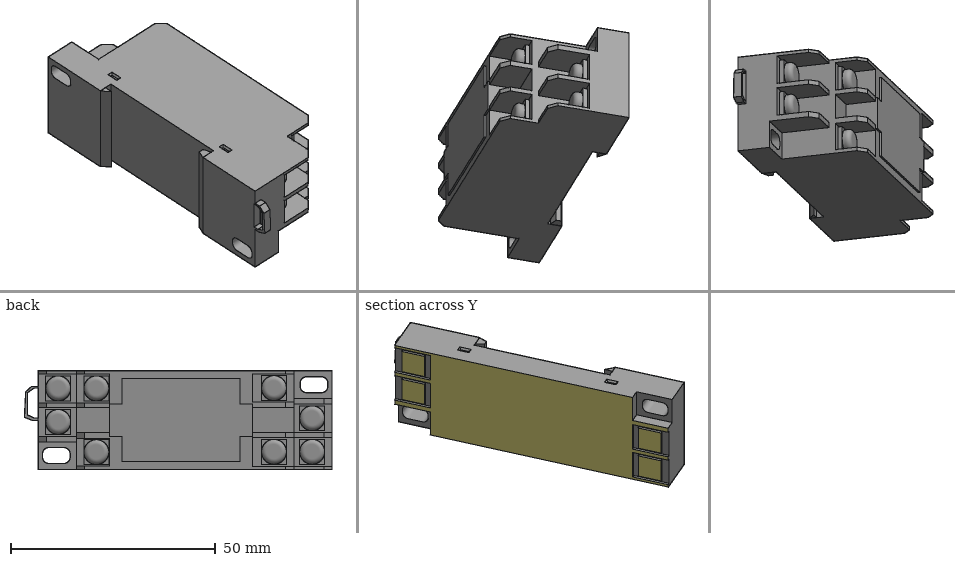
import cadquery as cq

HOUSING_LENGTH = 71.7
HEIGHT_Z = 24.2
TIER_LENGTH = 9.3
TIER_Y = 20.3
TOP_Y = 29.5
EDGE_CHAMFER = 2.0

CHANNEL_START = 18.1
CHANNEL_END = 53.6
CHANNEL_DEPTH = 3.6
HOOK_REACH = 2.1
HOOK_Y = 1.8
NOSE_REACH = 2.2
NOSE_ROOT_Y = 2.9
NOSE_TIP_LOW_Y = 0.9
NOSE_TIP_HIGH_Y = 2.2
GRIP_SIDE_GAP = 0.1

PAD_Y = 30.0
PAD_START = 19.45
PAD_END = 54.3
PAD_TAB = 3.0
PAD_WIDTH = 20.3
PAD_TAB_WIDTH = 7.95

LOWER_FLOOR_Y = 10.15
UPPER_FLOOR_Y = 21.9
LOWER_CHAMBERS = [(0.8, 7.9, True), (9.0, 16.1, True)]
UPPER_CHAMBERS = [(0.8, 7.9, True), (9.0, 15.2, False), (16.5, 23.3, True)]

SCREW_WIDTH = 6.1
SCREW_PLATE = 1.1
SCREW_HEAD = 2.1
SCREW_RIM_RADIUS = 1.2
SCREW_SETBACK = 4.9

NOTCH_FLOOR_Y = 8.1
NOTCH_WIDTH = 6.75
SLOT_X = 4.4
SLOT_Z = 20.7
SLOT_LENGTH = 6.7
SLOT_WIDTH = 3.8
SLOT_CORNER = 1.5

PIT_LENGTH = 3.0
PIT_WIDTH = 1.35
PIT_TAPER = 0.45
PIT_DEPTH = 0.45
PIT_Y = 6.3

LOOP_THICKNESS = 2.0
LOOP_RECESS = 0.3
LOOP_OUTER = [(73.3, 20.35), (74.8, 19.0), (75.1, 12.8), (73.1, 11.95)]
LOOP_INNER = [(72.7, 19.9), (74.3, 18.8), (74.3, 13.4), (72.7, 12.6)]


def box(x0, x1, y0, y1, z0, z1):
    return cq.Workplane("XY").box(x1 - x0, y1 - y0, z1 - z0, centered=False).translate((x0, y0, z0))


def prism(points, side_gap=0):
    """Profile in X and Y, extruded over the Z height less a gap at each side."""
    return (
        cq.Workplane("XY", origin=(0, 0, side_gap))
        .polyline(points).close().extrude(HEIGHT_Z - 2 * side_gap)
    )


def slab(points, y0, y1):
    """Profile in X and Z, extruded from y0 to y1."""
    return cq.Workplane("XZ", origin=(0, y0, 0)).polyline(points).close().extrude(y0 - y1)


def turned(shape):
    """Half turn about the vertical middle line of the housing, parallel to Y."""
    middle = (HOUSING_LENGTH / 2, 0, HEIGHT_Z / 2)
    return shape.rotate(middle, (middle[0], 1, middle[2]), 180)


def housing_block():
    right = HOUSING_LENGTH
    step = HOUSING_LENGTH - TIER_LENGTH
    c = EDGE_CHAMFER
    return prism([
        (0, 0), (CHANNEL_START, 0), (CHANNEL_START, CHANNEL_DEPTH),
        (CHANNEL_END, CHANNEL_DEPTH), (CHANNEL_END, 0), (right, 0),
        (right, TIER_Y - c), (right - c, TIER_Y), (step, TIER_Y),
        (step, TOP_Y - c), (step - c, TOP_Y), (TIER_LENGTH + c, TOP_Y),
        (TIER_LENGTH, TOP_Y - c), (TIER_LENGTH, TIER_Y), (c, TIER_Y), (0, TIER_Y - c),
    ])


def screw(x, floor_y, z):
    half = SCREW_WIDTH / 2
    plate = box(x - half, x + half, floor_y, floor_y + SCREW_PLATE, z - half, z + half)
    head = (
        cq.Workplane("XZ", origin=(x, floor_y + SCREW_PLATE, z))
        .circle(half).extrude(-SCREW_HEAD)
        .faces(">Y").edges().fillet(SCREW_RIM_RADIUS)
    )
    return plate.union(head)


def chamber_tiers(upper_depth):
    """Both tiers, as (outer face x, depth, floor y, open top y, chambers)."""
    return [
        (0, TIER_LENGTH, LOWER_FLOOR_Y, TIER_Y, LOWER_CHAMBERS),
        (TIER_LENGTH, upper_depth, UPPER_FLOOR_Y, TOP_Y, UPPER_CHAMBERS),
    ]


def corner_notch():
    return box(0, TIER_LENGTH, NOTCH_FLOOR_Y, TIER_Y, HEIGHT_Z - NOTCH_WIDTH, HEIGHT_Z)


def mounting_slot():
    return box(
        SLOT_X - SLOT_LENGTH / 2, SLOT_X + SLOT_LENGTH / 2,
        0, NOTCH_FLOOR_Y,
        SLOT_Z - SLOT_WIDTH / 2, SLOT_Z + SLOT_WIDTH / 2,
    ).edges("|Y").fillet(SLOT_CORNER)


def terminal_cuts(upper_depth):
    cuts = corner_notch().union(mounting_slot())
    for face_x, depth, floor_y, open_y, chambers in chamber_tiers(upper_depth):
        for z0, z1, _ in chambers:
            cuts = cuts.union(box(face_x, face_x + depth, floor_y, open_y, z0, z1))
    return cuts


def terminal_screws(upper_depth):
    screws = []
    for face_x, _, floor_y, _, chambers in chamber_tiers(upper_depth):
        for z0, z1, has_screw in chambers:
            if has_screw:
                screws.append(screw(face_x + SCREW_SETBACK, floor_y, (z0 + z1) / 2))
    return screws


def pad():
    mid = HEIGHT_Z / 2
    half_wide = PAD_WIDTH / 2
    half_tab = PAD_TAB_WIDTH / 2
    wide = box(PAD_START + PAD_TAB, PAD_END - PAD_TAB, TOP_Y, PAD_Y, mid - half_wide, mid + half_wide)
    tabs = box(PAD_START, PAD_END, TOP_Y, PAD_Y, mid - half_tab, mid + half_tab)
    return wide.union(tabs)


def pit(x):
    floor_length = PIT_LENGTH - 2 * PIT_TAPER
    floor_width = PIT_WIDTH - 2 * PIT_TAPER
    return (
        cq.Workplane("XY", origin=(x, PIT_Y, HEIGHT_Z)).rect(PIT_LENGTH, PIT_WIDTH)
        .workplane(offset=-PIT_DEPTH).rect(floor_length, floor_width).loft()
    )


def rail_hook():
    return prism([
        (CHANNEL_START, 0),
        (CHANNEL_START + HOOK_REACH, HOOK_Y),
        (CHANNEL_START, HOOK_Y),
    ], GRIP_SIDE_GAP)


def loop_outline(points, left_x):
    """Closes the bent right side of the loop with a straight left side."""
    closed = [(left_x, points[0][1])] + points + [(left_x, points[-1][1])]
    return slab(closed, 0, LOOP_THICKNESS)


def make_housing():
    left_depth = PAD_START - TIER_LENGTH
    right_depth = HOUSING_LENGTH - TIER_LENGTH - PAD_END
    body = housing_block()
    body = body.cut(terminal_cuts(left_depth)).cut(turned(terminal_cuts(right_depth)))
    for left_screw in terminal_screws(left_depth):
        body = body.union(left_screw)
    for right_screw in terminal_screws(right_depth):
        body = body.union(turned(right_screw))
    body = body.union(pad()).union(rail_hook())
    body = body.union(loop_outline(LOOP_OUTER, HOUSING_LENGTH))
    body = body.cut(loop_outline(LOOP_INNER, HOUSING_LENGTH - LOOP_RECESS))
    for pit_x in (CHANNEL_START - PIT_LENGTH / 2, CHANNEL_END + PIT_LENGTH / 2):
        body = body.cut(pit(pit_x))
    return body


def make_latch():
    """Bevelled nose that bears on the right wall of the rail channel."""
    tip_x = CHANNEL_END - NOSE_REACH
    return prism([
        (CHANNEL_END, 0),
        (CHANNEL_END, NOSE_ROOT_Y),
        (tip_x, NOSE_TIP_HIGH_Y),
        (tip_x, NOSE_TIP_LOW_Y),
    ], GRIP_SIDE_GAP)


housing = make_housing()
latch = make_latch()
result = cq.Compound.makeCompound([housing.val(), latch.val()])